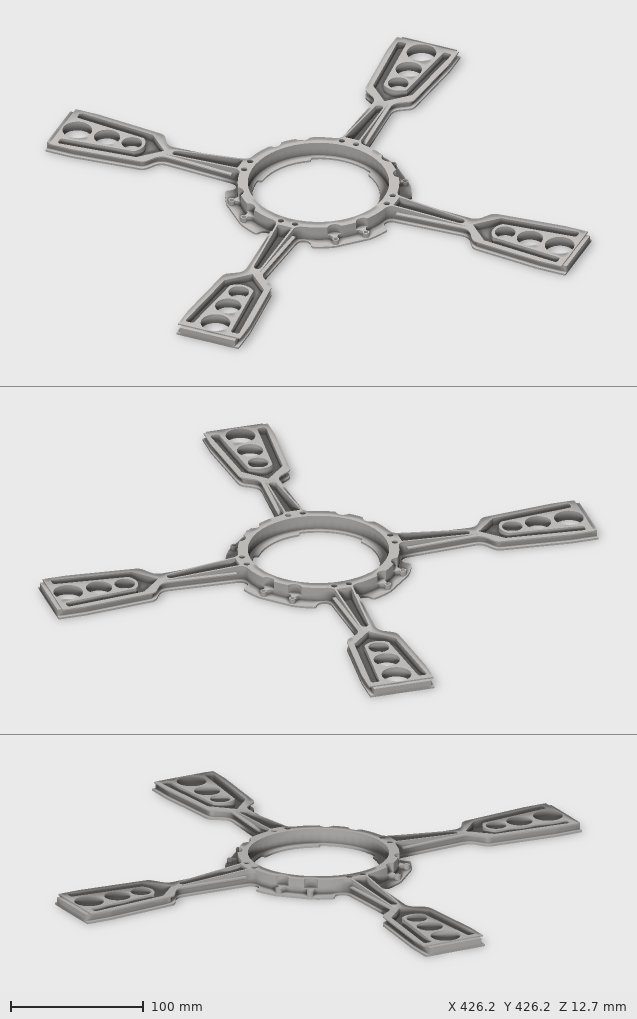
import cadquery as cq
import math

tolerance = 0.01

total_height = 12.7
skin = 1.5875
plate_top = 7.9375
upper_flange = 1.1
upper_flange_bottom = plate_top - upper_flange
boss_top = 5.56

arm_count = 4
tip_x = 426.18 / 2
tip_lip = 3.175
side_groove = 3.0
paddle_half_width = 25.4
paddle_bend_x = 191.5
shoulder_x = 134.8
shoulder_half_width = 20.0
neck_x = 126.5
neck_half_width = 6.95
root_x = 64.0
root_half_width = 10.3
shoulder_radius = 7.0
neck_radius = 9.0
slope_end_x = 125.0
flange_start_x = 67.5

rib_pocket_tip_x = 119.5
rib_pocket_tip_half_width = 3.0
rib_pocket_root_half_width = 5.8

slot_end_x = 204.8
slot_end_outer = 22.15
slot_end_inner = 15.3
slot_outer_corner = (142.7, 16.2)
slot_apex_x = 126.5
island_corner = (147.2, 9.6)
island_nose_x = 143.0
slot_corner_radius = 2.0

paddle_holes = [(197.7, 11.2), (173.3, 9.9), (153.0, 7.8)]

ring_radius = 61.0
bore_radius = 53.3
opening_radius = 50.0
lug_radius = 46.4
lug_count = 3
lug_corner_radius = 1.7
root_fillet = 6.0
flange_radius = 70.4
flange_flat = 69.0
relief_radius = 5.9
relief_center = (66.8, 16.1)
flange_corner_radius = 2.5
hub_hole_radius = 2.4
hub_hole_center = (58.5, 5.8)

boss_center_radius = 66.7
boss_angle = 10.6
boss_radius = 2.5
boss_hole_radius = 1.7
gusset_half_angle = 31.0
gusset_inner_radius = 57.3
seat_radius = 5.8
seat_center_radius = 63.3


def turned(shape, angle):
    return shape.rotate((0, 0, 0), (0, 0, 1), angle)


def around_hub(shape):
    """Copies of a shape turned to each of the four arms."""
    copies = shape
    for i in range(1, arm_count):
        copies = copies.union(turned(shape, i * 360 / arm_count))
    return copies


def prism(points, bottom, top):
    return cq.Workplane("XY").workplane(offset=bottom).polyline(points).close().extrude(top - bottom)


def disk(radius, bottom, top, center=(0, 0)):
    return cq.Workplane("XY").workplane(offset=bottom).center(*center).circle(radius).extrude(top - bottom)


def mirrored(half):
    """A closed outline from one half of it, mirrored in the X axis."""
    return half + [(x, -y) for x, y in reversed(half)]


def fillet_corners(body, distance, radius):
    """Round the upright edges that stand at one distance from the hub axis."""
    corners = []
    for edge in body.edges("|Z").vals():
        center = edge.Center()
        if abs(math.hypot(center.x, center.y) - distance) < tolerance:
            corners.append(edge)
    return body.newObject(corners).fillet(radius)


def arm_plan(bottom, top, inset=0.0):
    """Arm and paddle, with the sides moved in by the inset but the tip in place."""
    half = [
        (0, root_half_width),
        (root_x, root_half_width),
        (neck_x, neck_half_width),
        (shoulder_x, shoulder_half_width),
        (paddle_bend_x, paddle_half_width),
        (tip_x + inset, paddle_half_width),
    ]
    body = prism(mirrored(half), bottom, top)
    body = fillet_corners(body, math.hypot(shoulder_x, shoulder_half_width), shoulder_radius)
    body = fillet_corners(body, math.hypot(neck_x, neck_half_width), neck_radius)
    if inset:
        wire = body.faces("<Z").wires().val().offset2D(-inset)[0]
        body = cq.Workplane(cq.Solid.extrudeLinear(wire, [], cq.Vector(0, 0, top - bottom)))
    return body


def core():
    """Hub ring and arm webs, with the ribs sloping up to the ring."""
    body = disk(ring_radius, 0, total_height)
    body = body.union(around_hub(arm_plan(0, total_height, side_groove)))
    body = fillet_corners(body, ring_radius, root_fillet)
    profile = (
        cq.Workplane("XZ")
        .polyline([
            (0, 0), (tip_x, 0), (tip_x, upper_flange_bottom), (tip_x - tip_lip, upper_flange_bottom),
            (tip_x - tip_lip, plate_top), (slope_end_x, plate_top), (root_x, total_height),
            (0, total_height),
        ])
        .close()
        .extrude(paddle_half_width, both=True)
    )
    return body.intersect(around_hub(profile).union(disk(ring_radius, 0, total_height)))


def arm_flanges():
    """The thin skins that stand out beyond the web at the bottom and at paddle height."""
    length = tip_x - tip_lip - flange_start_x
    span = cq.Workplane("XY").box(length, 2 * paddle_half_width, total_height, centered=(False, True, False))
    upper = arm_plan(upper_flange_bottom, plate_top).intersect(span.translate((flange_start_x, 0, 0)))
    return around_hub(arm_plan(0, skin).union(upper))


def hub_flange():
    """Thin disk with flats on the diagonals and a round relief beside each arm."""
    x, y = relief_center
    gap = prism(mirrored([(x, y), (tip_x, y)]), 0, skin)
    gap = gap.union(disk(relief_radius, 0, skin, (x, y))).union(disk(relief_radius, 0, skin, (x, -y)))
    body = disk(flange_radius, 0, skin).cut(around_hub(gap))
    body = fillet_corners(body, flange_radius, flange_corner_radius)
    flats = cq.Workplane("XY").rect(2 * flange_flat, 2 * flange_flat).extrude(skin)
    return body.intersect(turned(flats, 45))


def rib_pocket():
    x = rib_pocket_tip_x - rib_pocket_tip_half_width
    y = rib_pocket_tip_half_width
    return (
        cq.Workplane("XY").workplane(offset=skin)
        .moveTo(root_x, -rib_pocket_root_half_width)
        .lineTo(root_x, rib_pocket_root_half_width)
        .lineTo(x, y)
        .threePointArc((rib_pocket_tip_x, 0), (x, -y))
        .close()
        .extrude(total_height)
    )


def paddle_pocket():
    ox, oy = slot_outer_corner
    ix, iy = island_corner
    body = (
        cq.Workplane("XY").workplane(offset=skin)
        .moveTo(slot_apex_x, 0)
        .lineTo(ox, oy)
        .lineTo(slot_end_x, slot_end_outer)
        .lineTo(slot_end_x, slot_end_inner)
        .lineTo(ix, iy)
        .threePointArc((island_nose_x, 0), (ix, -iy))
        .lineTo(slot_end_x, -slot_end_inner)
        .lineTo(slot_end_x, -slot_end_outer)
        .lineTo(ox, -oy)
        .close()
        .extrude(total_height)
    )
    return body.edges("|Z and >X").fillet(slot_corner_radius)


def arm_cuts():
    cuts = rib_pocket().union(paddle_pocket())
    for x, radius in paddle_holes:
        cuts = cuts.union(disk(radius, 0, total_height, (x, 0)))
    x, y = hub_hole_center
    for side in (y, -y):
        cuts = cuts.union(disk(hub_hole_radius, 0, total_height, (x, side)))
    return around_hub(cuts)


def hub_opening():
    """Bore above the floor, and the lugged opening through it."""
    opening = disk(lug_radius, 0, skin)
    sector = 180 / lug_count
    reach = 2 * opening_radius
    for i in range(lug_count):
        start = math.radians(sector * (2 * i + 1))
        end = start + math.radians(sector)
        wedge = prism(
            [(0, 0), (reach * math.cos(start), reach * math.sin(start)),
             (reach * math.cos(end), reach * math.sin(end))], 0, skin)
        opening = opening.union(wedge.intersect(disk(opening_radius, 0, skin)))
    opening = opening.edges("|Z").fillet(lug_corner_radius)
    return opening.union(disk(bore_radius, skin, total_height))


def at_bosses(shape):
    """Copies of a shape on +X turned to all the screw bosses."""
    pair = turned(shape, 45 + boss_angle).union(turned(shape, 45 - boss_angle))
    return around_hub(pair)


def bosses():
    depth = boss_center_radius - gusset_inner_radius
    width = depth * math.tan(math.radians(gusset_half_angle))
    boss = disk(boss_radius, 0, boss_top, (boss_center_radius, 0))
    boss = boss.union(prism(
        [(boss_center_radius, 0), (gusset_inner_radius, width), (gusset_inner_radius, -width)], 0, boss_top))
    return at_bosses(boss)


def boss_cuts():
    cut = disk(boss_hole_radius, 0, total_height, (boss_center_radius, 0))
    cut = cut.union(disk(seat_radius, boss_top, total_height, (seat_center_radius, 0)))
    return at_bosses(cut)


result = core().union(arm_flanges()).union(hub_flange()).union(bosses())
result = result.cut(hub_opening()).cut(arm_cuts()).cut(boss_cuts())